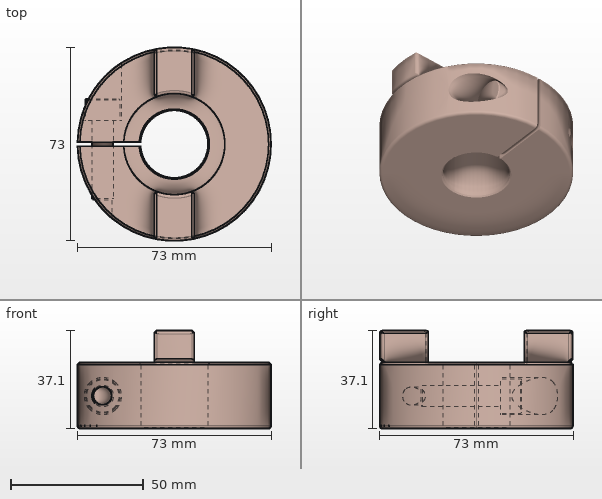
import cadquery as cq

outer_radius = 36.5
hub_height = 25.05
bore_radius = 12.7
bore_chamfer = 0.5
top_chamfer = 0.95
bottom_fillet = 1.25
slit_width = 1.5

recess_radius = 19.05
recess_depth = 0.2

lug_width = 15.2
lug_height = 12.0
lug_chamfer = 1.0
lug_fillet = 1.25
lug_foot_chamfer = 1.25

screw_x = -27.0
screw_z = 12.4
shank_radius = 4.0
shank_length = 29.9
tip_chamfer = 0.6
head_radius = 6.5
head_height = 8.0
head_chamfer = 0.4
seat_y = 9.0

counterbore_radius = 7.0
tapped_hole_radius = 3.395

smallest_circles = cq.selectors.RadiusNthSelector(0)
largest_circles = cq.selectors.RadiusNthSelector(-1)


def y_cylinder(radius, start_y, length):
    """Cylinder on the screw axis, running from start_y toward -Y."""
    plane = cq.Plane(origin=(screw_x, start_y, screw_z), xDir=(1, 0, 0), normal=(0, -1, 0))
    return cq.Workplane(plane).circle(radius).extrude(length)


def make_screw():
    shank = y_cylinder(shank_radius, seat_y, shank_length).faces("<Y").chamfer(tip_chamfer)
    head = y_cylinder(head_radius, seat_y + head_height, head_height).faces(">Y").chamfer(head_chamfer)
    return head.union(shank)


def make_hub_disc():
    disc = cq.Workplane("XY").circle(outer_radius).circle(bore_radius).extrude(hub_height)
    recess_floor = hub_height - recess_depth
    recess = cq.Workplane("XY").workplane(offset=recess_floor).circle(recess_radius).extrude(recess_depth)
    disc = disc.cut(recess)
    disc = disc.edges(smallest_circles).chamfer(bore_chamfer)
    disc = disc.faces(">Z").edges(largest_circles).chamfer(top_chamfer)
    return disc.faces("<Z").edges(largest_circles).fillet(bottom_fillet)


def make_lug_ring():
    """Ring that holds both lugs, its inner wall in line with the recess."""
    return (
        cq.Workplane("XY", origin=(0, 0, hub_height))
        .circle(outer_radius)
        .circle(recess_radius)
        .extrude(lug_height)
    )


def make_lug(side):
    """Lug on the +Y (side = 1) or -Y (side = -1) half of the hub."""
    block = (
        cq.Workplane("XY", origin=(0, side * outer_radius / 2, hub_height))
        .rect(lug_width, outer_radius)
        .extrude(lug_height)
    )
    lug = block.intersect(make_lug_ring()).edges("|Z").fillet(lug_fillet)
    rounded_ring = make_lug_ring().faces(">Z").edges().fillet(lug_fillet)
    rounded_ring = rounded_ring.faces("<Z").edges(largest_circles).chamfer(lug_foot_chamfer)
    bevelled_block = block.faces(">Z").edges("|Y").chamfer(lug_chamfer)
    return lug.intersect(rounded_ring).intersect(bevelled_block)


def make_slit():
    return cq.Workplane("XY").box(
        outer_radius, slit_width, hub_height, centered=(False, True, False)
    ).translate((-outer_radius, 0, 0))


def make_hub(screw):
    hub = make_hub_disc().cut(make_slit())
    for side in (1, -1):
        hub = hub.union(make_lug(side))
    counterbore = y_cylinder(counterbore_radius, outer_radius, outer_radius - seat_y)
    tapped_hole = y_cylinder(tapped_hole_radius, seat_y, seat_y + outer_radius)
    return hub.cut(counterbore).cut(tapped_hole).cut(screw)


clamp_screw = make_screw()
hub = make_hub(clamp_screw)
result = cq.Compound.makeCompound([hub.solids().val(), clamp_screw.val()])